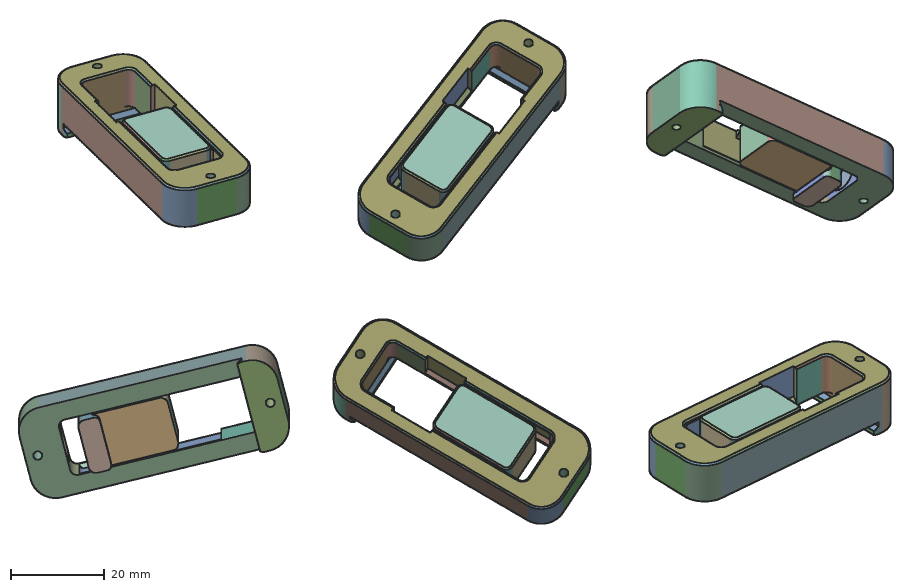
import cadquery as cq
import math

LENGTH = 56.9
WIDTH = 20.6
HEIGHT = 12.6
CORNER_RADIUS = 5.5
EDGE_CHAMFER = 0.4
FRAME_BOTTOM = 3.0
CUT_MARGIN = 0.55

WINDOW_START = 6.55
WINDOW_END = 48.2
WINDOW_HALF_WIDTH = 6.3
WINDOW_RADIUS = 1.6

SCREW_DIAMETER = 1.9
SCREW_INSET = 2.8

JAW_REACH = 1.0
JAW_TIP_HEIGHT = 1.0
JAW_ROOT_HEIGHT = 2.05
JAW_CORNER_SETBACK = 0.4

CHANNEL_DEPTH = 0.95
CHANNEL_MID_Z = (FRAME_BOTTOM + HEIGHT) / 2
CHANNEL_HALF_MOUTH = 3.9
CHANNEL_HALF_FLOOR = CHANNEL_HALF_MOUTH - CHANNEL_DEPTH
CHANNEL_START = 15.25
CHANNEL_END = WINDOW_END - WINDOW_RADIUS
NOTCH_END = 25.05

POCKET_DIAMETER = 8.0
POCKET_DEPTH = 2.2

SLIDER_START = 24.25
SLIDER_LENGTH = 19.75
SLIDER_END = SLIDER_START + SLIDER_LENGTH
SLIDER_HALF_WIDTH = 6.05
SLIDER_RADIUS = 1.6
RAIL_CLEARANCE = 0.35

HOOK_START = 39.15
HOOK_TIP_HEIGHT = 1.35
HOOK_KNEE_X = 40.2
HOOK_KNEE_HEIGHT = 2.15
HOOK_NECK_X = 40.6
HOOK_RADIUS = 1.1


def block(x_start, x_end, half_width, z_start, z_end):
    """Box centred on Y between the given X and Z limits."""
    return (
        cq.Workplane("XY", origin=((x_start + x_end) / 2, 0, z_start))
        .rect(x_end - x_start, 2 * half_width)
        .extrude(z_end - z_start)
    )


def side_profile(points, half_width):
    """Closed XZ outline extruded equally to both sides of Y = 0."""
    return cq.Workplane("XZ").polyline(points).close().extrude(half_width, both=True)


def fixed_jaw():
    """Full-width tooth that points right from the left foot, with a sloped top and rounded ends."""
    tip = WINDOW_START + JAW_REACH
    half_width = WIDTH / 2
    plan = (
        cq.Workplane("XY")
        .moveTo(0, 0)
        .lineTo(0, half_width)
        .lineTo(WINDOW_START, half_width)
        .tangentArcPoint((tip, half_width - JAW_CORNER_SETBACK), relative=False)
        .lineTo(tip, 0)
        .mirrorX()
        .extrude(FRAME_BOTTOM)
    )
    root = WINDOW_START - CUT_MARGIN
    profile = side_profile(
        [
            (root, 0),
            (tip, 0),
            (tip, JAW_TIP_HEIGHT),
            (WINDOW_START, JAW_ROOT_HEIGHT),
            (root, JAW_ROOT_HEIGHT),
        ],
        half_width,
    )
    return plan.intersect(profile)


def window():
    """Rounded opening through the full height."""
    return (
        block(WINDOW_START, WINDOW_END, WINDOW_HALF_WIDTH, 0, HEIGHT)
        .edges("|Z")
        .fillet(WINDOW_RADIUS)
    )


def rail_bar(x_start, x_end, clearance):
    """Bar across both channels, its section inset all round by the clearance."""
    floor_y = WINDOW_HALF_WIDTH + CHANNEL_DEPTH - clearance
    flank_shift = clearance * math.sqrt(2)
    half_floor = CHANNEL_HALF_FLOOR + clearance - flank_shift
    half_mouth = CHANNEL_HALF_MOUTH - flank_shift
    section = [
        (-floor_y, -half_floor),
        (-WINDOW_HALF_WIDTH, -half_mouth),
        (WINDOW_HALF_WIDTH, -half_mouth),
        (floor_y, -half_floor),
        (floor_y, half_floor),
        (WINDOW_HALF_WIDTH, half_mouth),
        (-WINDOW_HALF_WIDTH, half_mouth),
        (-floor_y, half_floor),
    ]
    return (
        cq.Workplane("YZ", origin=(x_start, 0, CHANNEL_MID_Z))
        .polyline(section)
        .close()
        .extrude(x_end - x_start)
    )


def channels():
    """Both channels with rounded right ends, and the notch that opens them to the top."""
    floor_y = WINDOW_HALF_WIDTH + CHANNEL_DEPTH
    plan = (
        block(CHANNEL_START, CHANNEL_END, floor_y, 0, HEIGHT)
        .edges("|Z and >X")
        .fillet(CHANNEL_DEPTH)
    )
    channel = rail_bar(CHANNEL_START, CHANNEL_END, 0).intersect(plan)
    notch = block(CHANNEL_START, NOTCH_END, floor_y, CHANNEL_MID_Z, HEIGHT + CUT_MARGIN)
    return channel.union(notch)


def spring_pocket():
    """Blind round pocket running right from the window's right wall."""
    return (
        cq.Workplane("YZ", origin=(WINDOW_END - CUT_MARGIN, 0, CHANNEL_MID_Z))
        .circle(POCKET_DIAMETER / 2)
        .extrude(CUT_MARGIN + POCKET_DEPTH)
    )


def make_housing():
    frame = (
        block(0, LENGTH, WIDTH / 2, 0, HEIGHT)
        .edges("|Z")
        .fillet(CORNER_RADIUS)
        .cut(window())
        .faces(">Z")
        .chamfer(EDGE_CHAMFER)
    )
    underside = block(WINDOW_START, LENGTH + CUT_MARGIN, WIDTH, -CUT_MARGIN, FRAME_BOTTOM)
    screw_holes = (
        cq.Workplane("XY")
        .pushPoints([(SCREW_INSET, 0), (LENGTH - SCREW_INSET, 0)])
        .circle(SCREW_DIAMETER / 2)
        .extrude(HEIGHT)
    )
    return (
        frame.cut(underside)
        .cut(channels())
        .cut(spring_pocket())
        .union(fixed_jaw())
        .cut(screw_holes)
    )


def slider_hook():
    """Hook under the right end of the slider, with a sloped tip pointing left."""
    plan = (
        block(HOOK_START, SLIDER_END, SLIDER_HALF_WIDTH, 0, FRAME_BOTTOM)
        .edges("|Z and >X")
        .fillet(SLIDER_RADIUS)
        .edges("|Z and <X")
        .fillet(HOOK_RADIUS)
    )
    profile = side_profile(
        [
            (HOOK_START, 0),
            (SLIDER_END, 0),
            (SLIDER_END, FRAME_BOTTOM),
            (HOOK_NECK_X, FRAME_BOTTOM),
            (HOOK_KNEE_X, HOOK_KNEE_HEIGHT),
            (HOOK_START, HOOK_TIP_HEIGHT),
        ],
        SLIDER_HALF_WIDTH,
    )
    return plan.intersect(profile)


def make_slider():
    body = (
        block(SLIDER_START, SLIDER_END, SLIDER_HALF_WIDTH, FRAME_BOTTOM, HEIGHT)
        .edges("|Z")
        .fillet(SLIDER_RADIUS)
        .faces(">Z")
        .chamfer(EDGE_CHAMFER)
    )
    rails = rail_bar(SLIDER_START + SLIDER_RADIUS, SLIDER_END - SLIDER_RADIUS, RAIL_CLEARANCE)
    return body.union(rails).union(slider_hook())


housing = make_housing()
slider = make_slider()
result = cq.Compound.makeCompound([housing.val(), slider.val()])